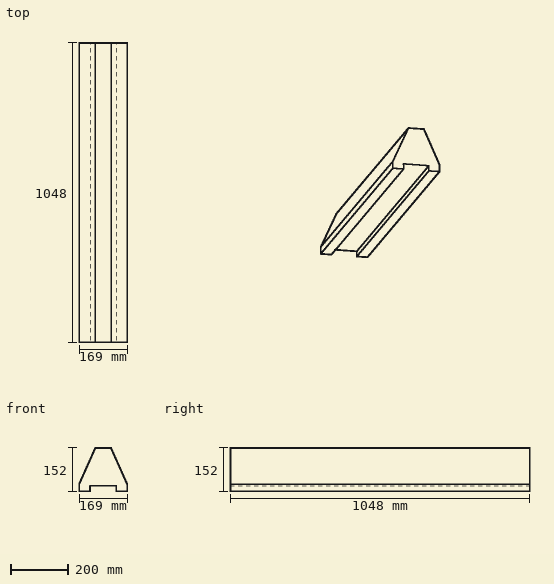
import cadquery as cq

length = 1048.0
base_width = 169.0
top_width = 56.0
height = 152.0
side_height = 25.0
channel_width = 91.0
channel_depth = 19.0

half_base = base_width / 2
half_top = top_width / 2


def tapered_bar():
    """Bar along Y with vertical lower sides and faces sloping in to a flat top."""
    return (
        cq.Workplane("XZ")
        .moveTo(-half_base, 0)
        .lineTo(half_base, 0)
        .lineTo(half_base, side_height)
        .lineTo(half_top, height)
        .lineTo(-half_top, height)
        .lineTo(-half_base, side_height)
        .close()
        .extrude(length / 2, both=True)
    )


def bottom_channel():
    """Rectangular channel running the full length of the underside."""
    return cq.Workplane("XY").box(
        channel_width, length, channel_depth, centered=(True, True, False)
    )


result = tapered_bar().cut(bottom_channel())